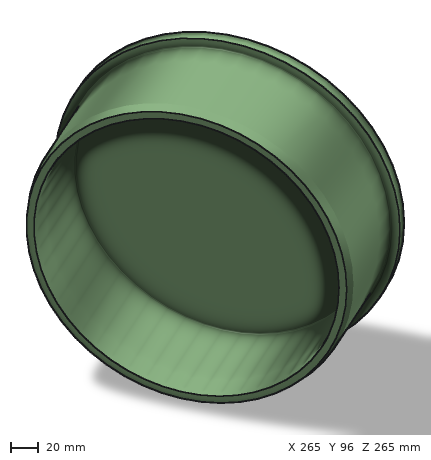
import cadquery as cq
import math

flange_diameter = 265.0
wall_outer_diameter = 250.5
wall_inner_diameter = 234.3
total_depth = 96.0
flange_thickness = 9.3
floor_thickness = 9.3
fillet_radius = 1.5
taper_length = 8.2
taper_angle = 15.0

flange_radius = flange_diameter / 2
outer_radius = wall_outer_diameter / 2
inner_radius = wall_inner_diameter / 2
rim_radius = outer_radius - taper_length * math.tan(math.radians(taper_angle))
arc_offset = fillet_radius * (1 - math.sqrt(0.5))

rim_y = -total_depth
flange_front_y = -flange_thickness
floor_y = -floor_thickness

half_section = (
    cq.Workplane("XY")
    .moveTo(0, 0)
    .lineTo(flange_radius, 0)
    .lineTo(flange_radius, flange_front_y)
    .lineTo(outer_radius + fillet_radius, flange_front_y)
    .threePointArc(
        (outer_radius + arc_offset, flange_front_y - arc_offset),
        (outer_radius, flange_front_y - fillet_radius),
    )
    .lineTo(outer_radius, rim_y + taper_length)
    .lineTo(rim_radius, rim_y)
    .lineTo(inner_radius, rim_y)
    .lineTo(inner_radius, floor_y - fillet_radius)
    .threePointArc(
        (inner_radius - arc_offset, floor_y - arc_offset),
        (inner_radius - fillet_radius, floor_y),
    )
    .lineTo(0, floor_y)
    .close()
)

result = half_section.revolve(360, (0, 0, 0), (0, 1, 0))